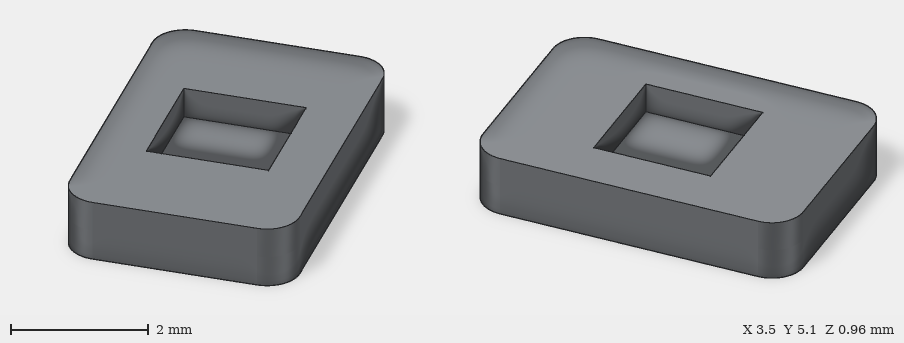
import cadquery as cq

width = 3.5
length = 5.1
thickness = 0.96
corner_radius = 0.5
layer_thickness = thickness / 2

pocket_side = 1.86


def make_layer(bottom_z):
    """Rounded rectangular layer standing on the given height."""
    return (
        cq.Workplane("XY", origin=(0, 0, bottom_z))
        .rect(width, length)
        .extrude(layer_thickness)
        .edges("|Z")
        .fillet(corner_radius)
    )


def make_pocket(bottom_z):
    """Square opening through the layer that starts at the given height."""
    return (
        cq.Workplane("XY", origin=(0, 0, bottom_z))
        .rect(pocket_side, pocket_side)
        .extrude(layer_thickness)
    )


base_layer = make_layer(0)
frame_layer = make_layer(layer_thickness).cut(make_pocket(layer_thickness))

result = base_layer.union(frame_layer, clean=False)